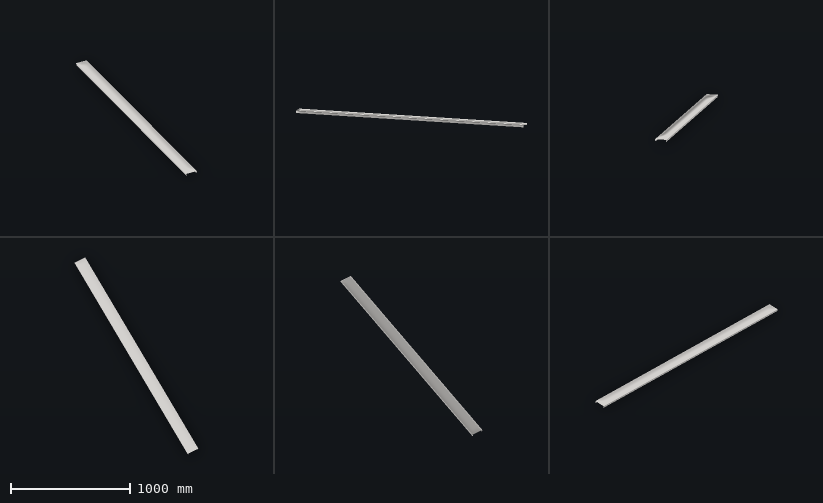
import cadquery as cq

length = 2000.0
width = 102.0
height = 19.2

wall = 2.0
side_height = 10.0
waist_drop = 13.0
waist_inset = 5.0
lip_inset = 3.0
top_bend_radius = 5.0
top_bend_inner_radius = top_bend_radius - wall

half_width = width / 2
side_inner = half_width - wall
side_bottom = height - side_height
waist_outer = half_width - waist_inset
waist_inner = waist_outer - wall
waist_level = height - waist_drop
lip_outer = half_width - lip_inset
lip_inner = lip_outer - wall
panel_bottom = height - wall

half_outline = [
    (half_width, height),
    (half_width, side_bottom),
    (waist_outer, waist_level),
    (lip_outer, 0),
    (lip_inner, 0),
    (waist_inner, waist_level),
    (side_inner, side_bottom),
    (side_inner, panel_bottom),
]
mirrored_outline = [(-y, z) for y, z in reversed(half_outline)]

cover = (
    cq.Workplane("YZ", origin=(-length / 2, 0, 0))
    .polyline(half_outline + mirrored_outline)
    .close()
    .extrude(length)
)

outer_corners = cover.faces(">Z").edges("|X")
cover = outer_corners.fillet(top_bend_radius)
panel_underside = cover.faces(cq.selectors.NearestToPointSelector((0, 0, panel_bottom)))
result = panel_underside.edges("|X").fillet(top_bend_inner_radius)